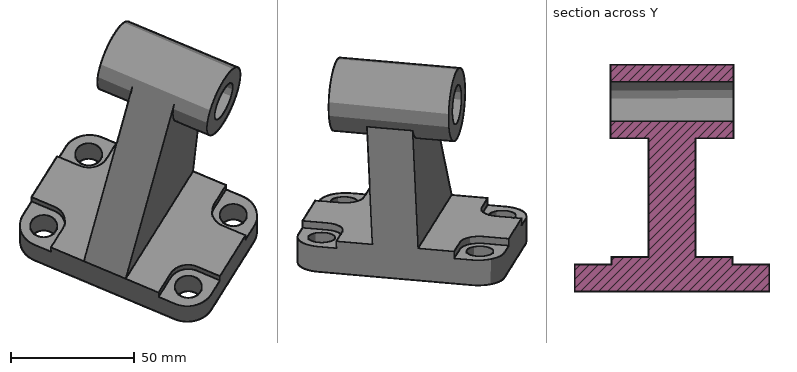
import cadquery as cq
import math

base_length = 86.0
base_depth = 60.0
base_height = 14.1
corner_radius = 11.0

hole_diameter = 11.0
hole_spacing_x = 66.0
hole_spacing_y = 40.0
recess_depth = 3.0
recess_length = 18.4
recess_width = 18.6
recess_radius = 8.0

overall_depth = 72.0
overall_height = 92.2
barrel_diameter = 30.0
barrel_length = 50.1
bore_diameter = 16.0
barrel_radius = barrel_diameter / 2
barrel_y = overall_depth - barrel_radius
barrel_z = overall_height - barrel_radius

rib_thickness = 19.1
rib_front_rise = 5.3
rib_back_rise = -7.8


def barrel_point(rise, side):
    """Point on the barrel surface at a height above its axis; side is -1 for front, 1 for back."""
    reach = math.sqrt(barrel_radius**2 - rise**2)
    return (barrel_y + side * reach, barrel_z + rise)


def cylinder_along_x(diameter):
    return (
        cq.Workplane("YZ", origin=(-barrel_length / 2, barrel_y, barrel_z))
        .circle(diameter / 2)
        .extrude(barrel_length)
    )


def make_base():
    base = (
        cq.Workplane("XY")
        .box(base_length, base_depth, base_height, centered=(True, False, False))
        .edges("|Z")
        .fillet(corner_radius)
    )
    for side_x in (-1, 1):
        for side_y in (-1, 1):
            corner_x = side_x * base_length / 2
            corner_y = base_depth / 2 * (1 + side_y)
            recess = (
                cq.Workplane("XY", origin=(corner_x, corner_y, base_height - recess_depth))
                .rect(2 * recess_length, 2 * recess_width)
                .extrude(recess_depth)
                .edges("|Z")
                .fillet(recess_radius)
            )
            base = base.cut(recess)
    holes = (
        cq.Workplane("XY", origin=(0, base_depth / 2, 0))
        .rect(hole_spacing_x, hole_spacing_y, forConstruction=True)
        .vertices()
        .circle(hole_diameter / 2)
        .extrude(base_height)
    )
    return base.cut(holes)


def make_rib():
    front_foot = (0, base_height)
    back_foot = (base_depth, base_height)
    outline = [
        front_foot,
        barrel_point(rib_front_rise, -1),
        (barrel_y, barrel_z),
        barrel_point(rib_back_rise, 1),
        back_foot,
    ]
    return cq.Workplane("YZ").polyline(outline).close().extrude(rib_thickness / 2, both=True)


body = make_base().union(make_rib()).union(cylinder_along_x(barrel_diameter))
result = body.cut(cylinder_along_x(bore_diameter))